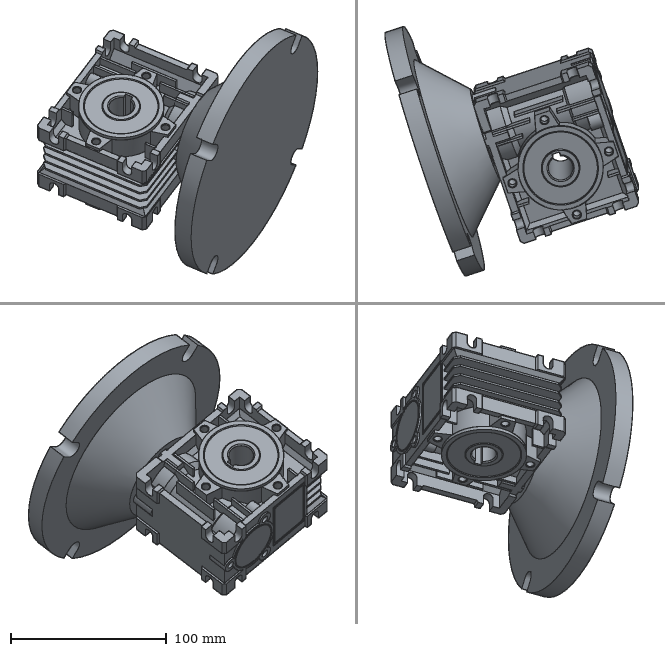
import cadquery as cq
import math


total_length = 121.0
flange_radius = 82.4
flange_thickness = 12.0
flange_start = total_length - flange_thickness
cone_start = 80.7
cone_small_radius = 30.6
cone_large_radius = 60.0
flange_slot_width = 11.0
flange_slot_pitch_radius = 75.0

housing_length = 80.0
housing_back = 27.2
housing_front = -70.0
foot_top = 28
wall_top = 26.7
cover_inset = 1.24
adapter_inset = 0.7
side_inset = 1.5
wall_min_x = cover_inset
wall_max_x = housing_length - adapter_inset
wall_back = housing_back - side_inset
wall_front = housing_front + side_inset
core_front = -50.5
core_corner_x = 17.1
core_max_x = 21.4
core_corner_setback = 1.2

tray_base = 11.5
tray_rim = 16.1
tray_base_setback = 4.3
cavity_min_x = 5.5
cavity_max_x = 74.6
cavity_back = 21.4
cavity_front = -64.7
cavity_floor = 12.8
floor_bevel = 3.1
back_bevel_top = 17.8
trough_floor = 8.2

foot_length = 20.3
foot_flank = 1.0
foot_chamfer = 2.0
foot_slot_width = 6.6
foot_slot_depth = 9.0
foot_slot_inset = 13.2

hub_x = housing_length / 2
hub_y = -30.1
hub_face = 31.5
hub_flange_radius = 27.3
hub_flange_thickness = 2.5
lug_top = hub_face - hub_flange_thickness
neck_radius = 27.2
barrel_radius = 28.3
seal_radius = 24.2
seal_recess = 0.5
seal_edge = 0.7
sleeve_radius = 11.7
bore_radius = 7.9
bore_chamfer = 0.8
keyway_width = 5
keyway_reach = 10.2
lug_reach = 37.4
lug_root = 23
lug_root_width = 17.5
lug_tip_width = 10.2
lug_hole_radius = 2.5
lug_hole_pitch_radius = 32.6
lug_hole_depth = 8.2
lug_hole_chamfer = 0.5
lug_hole_tip = 1.6

tube_cover_end_radius = 20.1
tube_middle_radius = 18.1
tube_adapter_end_radius = 21.9
tube_step_start = 22.2
tube_step_end = 23.7
tube_taper_start = 61.3
tube_taper_end = 65.0
adapter_boss_pitch_radius = 22.0
boss_radius = 5.1

cover_ring_radius = 18.8
cover_cap_radius = 16.3
cover_groove_width = 0.7
cover_groove_depth = 0.8
cover_boss_pitch_radius = 21.1
cover_boss_length = 14.0
cover_hole_radius = 2.5
cover_hole_depth = 8.2

plate_center_y = -34.1
plate_frame_width = 28.7
plate_frame_height = 40.2
plate_border = 1.2
plate_depth = 0.5
plate_corner_radius = 2.0

fin_thickness = 1.5
fin_levels = (-10.7, -3.6, 3.6, 10.7)
fin_front = -68.2
fin_min_x = 2.5
fin_max_x = 78.5
fin_corner = 3.5
rib_thickness = 1.5
rib_top = 26.0
rib_spans = (
    (10.4, 25.0, 57.7),
    (4.1, cavity_min_x, 31.0),
    (4.1, 49.5, cavity_max_x),
    (-4.1, cavity_min_x, 23),
    (-4.1, 57.0, cavity_max_x),
    (-46.1, cavity_min_x, 13.3),
    (-46.1, 66.9, cavity_max_x),
)


def box(x_range, y_range, z_range):
    """Axis-aligned box given by its limits."""
    size = [high - low for low, high in (x_range, y_range, z_range)]
    solid = cq.Workplane("XY").box(*size, centered=False)
    return solid.translate((x_range[0], y_range[0], z_range[0]))


def x_cylinder(radius, start, end, y=0, z=0):
    """Cylinder along X."""
    return cq.Workplane("YZ", origin=(start, y, z)).circle(radius).extrude(end - start)


def hub_cylinder(radius, start, end):
    """Cylinder on the hub axis."""
    return cq.Workplane("XY", origin=(hub_x, hub_y, start)).circle(radius).extrude(end - start)


def turned_about_x(profile):
    """Revolve a profile of (x, radius) points about the X axis."""
    return cq.Workplane("XY").polyline(profile).close().revolve(360, (0, 0, 0), (1, 0, 0))


def turned_about_z(profile, x, y):
    """Revolve a profile of (radius, z) points about a vertical axis."""
    solid = cq.Workplane("XZ").polyline(profile).close().revolve(360, (0, 0, 0), (0, 1, 0))
    return solid.translate((x, y, 0))


def mirrored(upper):
    """The upper feature together with its mirror image in the plane Z = 0."""
    return upper.union(upper.mirror("XY"))


def tapered_block(lower, upper):
    """Loft between two rectangles given as (min_x, max_x, min_y, max_y, z)."""
    def wire(min_x, max_x, min_y, max_y, z):
        corners = [(min_x, min_y, z), (max_x, min_y, z), (max_x, max_y, z), (min_x, max_y, z)]
        return cq.Wire.makePolygon([cq.Vector(*corner) for corner in corners], close=True)

    return cq.Workplane(cq.Solid.makeLoft([wire(*lower), wire(*upper)], True))


def input_flange():
    """Conical adapter and slotted round flange."""
    profile = [
        (cone_start, 0),
        (cone_start, cone_small_radius),
        (flange_start, cone_large_radius),
        (flange_start, flange_radius),
        (total_length, flange_radius),
        (total_length, 0),
    ]
    body = turned_about_x(profile)
    half_width = flange_slot_width / 2
    slot = x_cylinder(half_width, flange_start, total_length, y=flange_slot_pitch_radius)
    slot = slot.union(box(
        (flange_start, total_length),
        (flange_slot_pitch_radius, flange_radius + half_width),
        (-half_width, half_width),
    ))
    for angle in (45, 135, 225, 315):
        body = body.cut(slot.rotate((0, 0, 0), (1, 0, 0), angle))
    return body


def upper_tray():
    """Bevelled tray base with its upright wall, before hollowing."""
    base = tapered_block(
        (wall_min_x + tray_base_setback, wall_max_x - tray_base_setback,
         wall_front + tray_base_setback, wall_back, tray_base),
        (wall_min_x, wall_max_x, wall_front, wall_back, tray_rim),
    )
    wall = box((wall_min_x, wall_max_x), (wall_front, wall_back), (tray_rim, wall_top))
    return base.union(wall)


def upper_feet():
    """Four corner feet, thicker than the wall, with flanks that slope down to it."""
    middle_y = (housing_back + housing_front) / 2
    base_length = foot_length + foot_flank
    outline = [
        (foot_chamfer, housing_front),
        (foot_length, housing_front),
        (base_length, wall_front),
        (base_length, housing_front + base_length),
        (wall_min_x, housing_front + base_length),
        (0, housing_front + foot_length),
        (0, housing_front + foot_chamfer),
    ]
    plane = cq.Workplane("XY", origin=(0, 0, tray_rim))
    corner = plane.polyline(outline).close().extrude(foot_top - tray_rim)
    sloped_top = tapered_block(
        (0, base_length, housing_front, housing_front + base_length, wall_top),
        (0, foot_length, housing_front, housing_front + foot_length, foot_top),
    )
    base = box((0, base_length), (housing_front, housing_front + base_length), (tray_rim, wall_top))
    corner = corner.intersect(base.union(sloped_top))
    pair = corner.union(corner.mirror("XZ", (0, middle_y, 0)))
    return pair.union(pair.mirror("YZ", (hub_x, 0, 0)))


def upper_cavity():
    """Hollow of the tray: a bevelled floor in front and a deeper trough at the worm tube."""
    bevel_top = cavity_floor + floor_bevel
    floor = tapered_block(
        (cavity_min_x + floor_bevel, cavity_max_x - floor_bevel,
         cavity_front + floor_bevel, 0, cavity_floor),
        (cavity_min_x, cavity_max_x, cavity_front, 0, bevel_top),
    )
    front = box((cavity_min_x, cavity_max_x), (cavity_front, 0), (bevel_top, foot_top))
    trough_profile = [
        (0, foot_top),
        (cavity_back, foot_top),
        (cavity_back, back_bevel_top),
        (cavity_back - (back_bevel_top - trough_floor), trough_floor),
        (0, trough_floor),
    ]
    plane = cq.Workplane("YZ", origin=(cavity_min_x, 0, 0))
    trough = plane.polyline(trough_profile).close().extrude(cavity_max_x - cavity_min_x)
    return floor.union(front).union(trough)


def upper_foot_slots():
    """Round-bottomed slots through the feet; the +X back foot has none."""
    half_width = foot_slot_width / 2
    round_z = foot_top - foot_slot_depth + half_width
    front_cut = (housing_front, cavity_front)
    back_cut = (cavity_back, housing_back)
    cover_cut = (0, cavity_min_x)
    adapter_cut = (cavity_max_x, housing_length)
    front_y = housing_front + foot_slot_inset
    back_y = housing_back - foot_slot_inset

    slots = cq.Workplane("XY")
    for x in (foot_slot_inset, housing_length - foot_slot_inset):
        for start, end in (front_cut, back_cut):
            slots = slots.union(box((x - half_width, x + half_width), (start, end), (round_z, foot_top)))
            rounded = cq.Workplane("XZ", origin=(x, end, round_z)).circle(half_width).extrude(end - start)
            slots = slots.union(rounded)
    for y, (start, end) in ((front_y, cover_cut), (back_y, cover_cut), (front_y, adapter_cut)):
        slots = slots.union(box((start, end), (y - half_width, y + half_width), (round_z, foot_top)))
        slots = slots.union(x_cylinder(half_width, start, end, y, round_z))
    return slots


def core():
    """Solid middle of the housing between the trays."""
    outline = [
        (wall_min_x, core_front),
        (core_corner_x, core_front),
        (core_max_x, core_front + core_corner_setback),
        (core_max_x, wall_back),
        (wall_min_x, wall_back),
    ]
    plane = cq.Workplane("XY", origin=(0, 0, -tray_rim))
    cover_side = plane.polyline(outline).close().extrude(2 * tray_rim)
    worm_side = box((wall_min_x, wall_max_x), (0, wall_back), (-tray_rim, tray_rim))
    return cover_side.union(worm_side)


def cover_wall():
    """Full-height wall that carries the worm cover and the name plate."""
    return box((wall_min_x, cavity_min_x), (core_front, wall_back), (-wall_top, wall_top))


def fins():
    """Cooling fins around the hub barrel, with chamfered front corners."""
    outline = [
        (fin_min_x, core_front),
        (fin_min_x, fin_front + fin_corner),
        (fin_min_x + fin_corner, fin_front),
        (fin_max_x - fin_corner, fin_front),
        (fin_max_x, fin_front + fin_corner),
        (fin_max_x, 0),
        (fin_min_x, 0),
    ]
    stack = cq.Workplane("XY")
    for level in fin_levels:
        plane = cq.Workplane("XY", origin=(0, 0, level - fin_thickness / 2))
        stack = stack.union(plane.polyline(outline).close().extrude(fin_thickness))
    return stack


def upper_ribs():
    """Thin stiffening ribs that stand in the tray parallel to X."""
    ribs = cq.Workplane("XY")
    for y, start, end in rib_spans:
        half = rib_thickness / 2
        ribs = ribs.union(box((start, end), (y - half, y + half), (tray_base, rib_top)))
    return ribs


def worm_tube():
    """Stepped tube around the worm, with screw bosses at the adapter end."""
    profile = [
        (wall_min_x, 0),
        (wall_min_x, tube_cover_end_radius),
        (tube_step_start, tube_cover_end_radius),
        (tube_step_end, tube_middle_radius),
        (tube_taper_start, tube_middle_radius),
        (tube_taper_end, tube_adapter_end_radius),
        (cone_start, tube_adapter_end_radius),
        (cone_start, 0),
    ]
    tube = turned_about_x(profile)
    boss = x_cylinder(boss_radius, tube_taper_end, cone_start, y=adapter_boss_pitch_radius)
    trim = box((0, cone_start), (-housing_back, housing_back), (-wall_top, wall_top))
    for angle in (0, 90, 180, 270):
        tube = tube.union(boss.rotate((0, 0, 0), (1, 0, 0), angle))
    return tube.intersect(trim)


def cover_positions():
    """Y and Z of the three cover screws."""
    angles = [math.radians(angle) for angle in (0, 120, 240)]
    return [(cover_boss_pitch_radius * math.cos(a), cover_boss_pitch_radius * math.sin(a)) for a in angles]


def cover_pads():
    """Raised ring and screw bosses on the -X side."""
    pads = x_cylinder(cover_ring_radius, 0, cover_boss_length)
    for y, z in cover_positions():
        pads = pads.union(x_cylinder(boss_radius, 0, cover_boss_length, y, z))
    return pads


def cover_cuts():
    """Groove around the cap and the cover screw holes."""
    cuts = x_cylinder(cover_cap_radius + cover_groove_width, 0, cover_groove_depth)
    cuts = cuts.cut(x_cylinder(cover_cap_radius, 0, cover_groove_depth))
    for y, z in cover_positions():
        cuts = cuts.union(x_cylinder(cover_hole_radius, 0, cover_hole_depth, y, z))
    return cuts


def plate_recess():
    """Shallow frame around a flush plate with rounded corners."""
    plane = cq.Workplane("YZ", origin=(wall_min_x, plate_center_y, 0))
    frame = plane.rect(plate_frame_width, plate_frame_height).extrude(plate_depth)
    plate = plane.rect(plate_frame_width - 2 * plate_border, plate_frame_height - 2 * plate_border)
    plate = plate.extrude(plate_depth).edges("|X").fillet(plate_corner_radius)
    return frame.cut(plate)


def upper_hub():
    """Hub neck, its round flange and four tapered screw lugs."""
    neck = hub_cylinder(neck_radius, tray_base, lug_top)
    outline = [
        (lug_root, -lug_root_width / 2),
        (lug_reach, -lug_tip_width / 2),
        (lug_reach, lug_tip_width / 2),
        (lug_root, lug_root_width / 2),
    ]
    lug = cq.Workplane("XY").polyline(outline).close().extrude(lug_top - cavity_floor)
    lug = lug.translate((hub_x, hub_y, cavity_floor))
    above_wall = box((wall_min_x, wall_max_x), (wall_front, wall_back), (wall_top, lug_top))
    tray_space = upper_tray().union(above_wall)
    for angle in (0, 90, 180, 270):
        turned = lug.rotate((hub_x, hub_y, 0), (hub_x, hub_y, 1), angle)
        neck = neck.union(turned.intersect(tray_space))
    return neck.union(hub_cylinder(hub_flange_radius, lug_top, hub_face))


def upper_hub_cuts():
    """Seal recess around the sleeve and the drilled lug holes."""
    recess_floor = hub_face - seal_recess
    recess_profile = [
        (sleeve_radius + seal_edge, recess_floor),
        (sleeve_radius, hub_face),
        (seal_radius, hub_face),
        (seal_radius - seal_edge, recess_floor),
    ]
    hole_profile = [
        (0, lug_top),
        (lug_hole_radius + lug_hole_chamfer, lug_top),
        (lug_hole_radius, lug_top - lug_hole_chamfer),
        (lug_hole_radius, lug_top - lug_hole_depth),
        (0, lug_top - lug_hole_depth - lug_hole_tip),
    ]
    cuts = turned_about_z(recess_profile, hub_x, hub_y)
    for angle in (0, 90, 180, 270):
        x = hub_x + lug_hole_pitch_radius * math.cos(math.radians(angle))
        y = hub_y + lug_hole_pitch_radius * math.sin(math.radians(angle))
        cuts = cuts.union(turned_about_z(hole_profile, x, y))
    return cuts


def bore():
    """Through bore with chamfered mouths and a keyway."""
    profile = [
        (0, 0),
        (bore_radius, 0),
        (bore_radius, hub_face - bore_chamfer),
        (bore_radius + bore_chamfer, hub_face),
        (0, hub_face),
    ]
    hole = mirrored(turned_about_z(profile, hub_x, hub_y))
    half = keyway_width / 2
    keyway = box((hub_x - half, hub_x + half), (hub_y, hub_y + keyway_reach), (-hub_face, hub_face))
    return hole.union(keyway)


housing = mirrored(upper_tray().union(upper_feet())).union(core())
housing = housing.cut(mirrored(upper_cavity())).union(cover_wall()).cut(mirrored(upper_foot_slots()))
housing = housing.union(fins()).union(worm_tube()).union(cover_pads())
housing = housing.union(hub_cylinder(barrel_radius, -tray_base, tray_base))
housing = housing.union(mirrored(upper_ribs())).union(mirrored(upper_hub()))
housing = housing.cut(cover_cuts()).cut(plate_recess())
housing = housing.cut(mirrored(upper_hub_cuts())).cut(bore())

result = housing.union(input_flange())